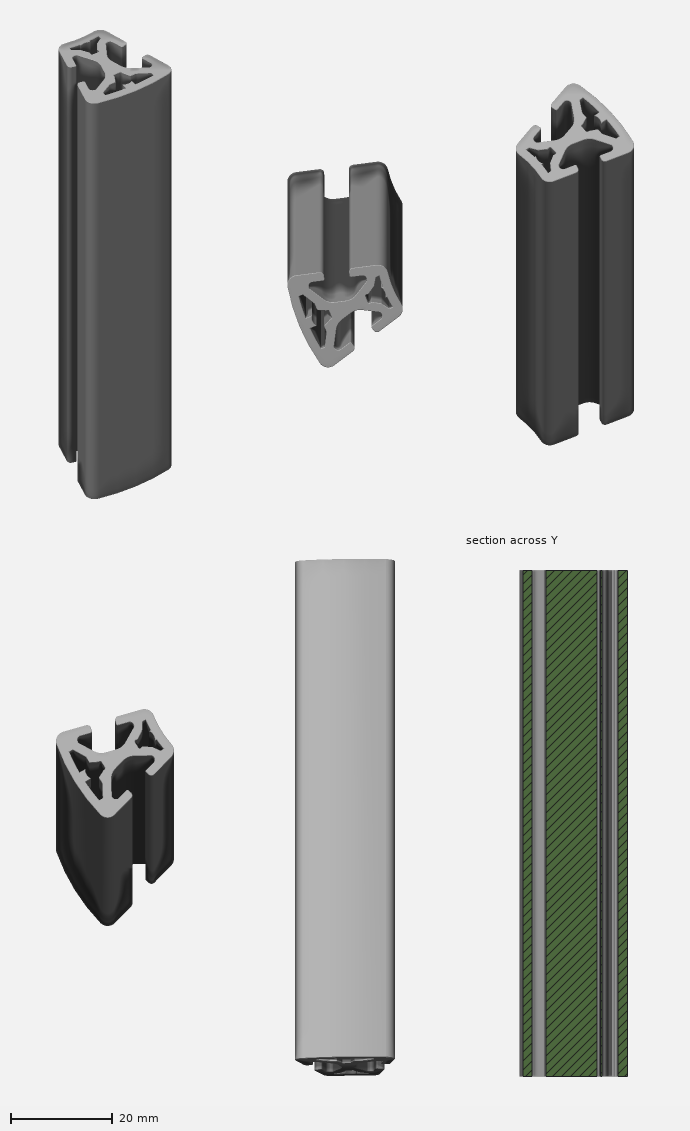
import cadquery as cq
import math

LENGTH = 100.0
SECTOR_ANGLE = 30.0
INNER_RADIUS = 20.0
OUTER_RADIUS = 40.0
CORNER_RADIUS = 2.0
END_CHAMFER = 0.1

SLOT_CENTRE = (INNER_RADIUS + OUTER_RADIUS) / 2
MOUTH_HALF = 2.5
LIP_THICKNESS = 1.8
LIP_OUTER_RADIUS = 0.8
LIP_INNER_RADIUS = 0.3
CAVITY_HALF = 5.75
SLOT_DEPTH = 6.35
FLOOR_HALF = 2.35
FLOOR_RADIUS = 3.0
CAVITY_RADIUS = 0.8
CAVITY_WALL_TOP = SLOT_DEPTH - (CAVITY_HALF - FLOOR_HALF)

OUTER_WALL = 1.8
INNER_WALL = 1.8
CHAMBER_RADIUS = 0.25
STEP_RADIUS = 0.15
BORE_RADIUS = 2.05
NUB_HALF = 1.125

OUTER_BORE_CENTRE = 35.15
OUTER_NOTCH_END = 33.4
OUTER_NOTCH_HALF = 0.9
OUTER_NOTCH_MOUTH = (33.9, 0.95)
OUTER_STEP = (35.5, 1.75)
OUTER_FLANK_START = (35.5, 3.1)
OUTER_TIP = (36.95, 5.69)

INNER_BORE_CENTRE = 23.85
INNER_NOTCH_END = 25.65
INNER_NOTCH_HALF = 0.95
INNER_NOTCH_MOUTH = (24.9, 0.85)
INNER_FLANK_BEND = (23.26, 1.88)
INNER_TIP = (22.25, 3.41)


def rounded_prism(corners):
    """Full-length prism whose corners (x, y, radius) are rounded with tangent arcs."""
    rounded = []
    count = len(corners)
    for i, (x, y, radius) in enumerate(corners):
        corner = cq.Vector(x, y)
        to_previous = (cq.Vector(*corners[i - 1][:2]) - corner).normalized()
        to_next = (cq.Vector(*corners[(i + 1) % count][:2]) - corner).normalized()
        half_angle = to_previous.getAngle(to_next) / 2
        setback = radius / math.tan(half_angle)
        bisector = (to_previous + to_next).normalized()
        arc_middle = corner + bisector * (radius / math.sin(half_angle) - radius)
        rounded.append((radius, corner + to_previous * setback, arc_middle, corner + to_next * setback))

    outline = cq.Workplane("XY").moveTo(*rounded[-1][3].toTuple()[:2])
    for radius, start, middle, end in rounded:
        outline = outline.lineTo(start.x, start.y)
        if radius > 0:
            outline = outline.threePointArc((middle.x, middle.y), (end.x, end.y))
    return outline.close().extrude(LENGTH)


def mirrored(corners):
    """Close a half outline by repeating it in reverse below the first axis."""
    return corners + [(x, -y, radius) for x, y, radius in reversed(corners)]


def cylinder(radius, centre=0.0):
    return cq.Workplane("XY").center(centre, 0).circle(radius).extrude(LENGTH)


def on_bisector(shape):
    return shape.rotate((0, 0, 0), (0, 0, 1), SECTOR_ANGLE / 2)


def ring_sector():
    def polar(radius, degrees):
        angle = math.radians(degrees)
        return radius * math.cos(angle), radius * math.sin(angle)

    return (
        cq.Workplane("XY")
        .moveTo(INNER_RADIUS, 0)
        .lineTo(OUTER_RADIUS, 0)
        .threePointArc(polar(OUTER_RADIUS, SECTOR_ANGLE / 2), polar(OUTER_RADIUS, SECTOR_ANGLE))
        .lineTo(*polar(INNER_RADIUS, SECTOR_ANGLE))
        .threePointArc(polar(INNER_RADIUS, SECTOR_ANGLE / 2), (INNER_RADIUS, 0))
        .close()
        .extrude(LENGTH)
        .edges("|Z")
        .fillet(CORNER_RADIUS)
    )


def t_slot():
    """Slot cutter for the face on Y = 0."""
    clearance = 1.0
    right_half = [
        (CAVITY_HALF, -clearance, 0),
        (CAVITY_HALF, 0, 0),
        (MOUTH_HALF, 0, LIP_OUTER_RADIUS),
        (MOUTH_HALF, LIP_THICKNESS, LIP_INNER_RADIUS),
        (CAVITY_HALF, LIP_THICKNESS, CAVITY_RADIUS),
        (CAVITY_HALF, CAVITY_WALL_TOP, CAVITY_RADIUS / 2),
        (FLOOR_HALF, SLOT_DEPTH, FLOOR_RADIUS),
    ]
    left_half = [(-x, y, radius) for x, y, radius in reversed(right_half)]
    return rounded_prism(right_half + left_half).translate((SLOT_CENTRE, 0, 0))


def wall_nub(face_radius, bore_centre):
    """Nub reaching from a curved face towards a bore centre, hollowed by the bore."""
    return (
        cq.Workplane("XY")
        .center((face_radius + bore_centre) / 2, 0)
        .rect(abs(face_radius - bore_centre), 2 * NUB_HALF)
        .extrude(LENGTH)
        .cut(cylinder(BORE_RADIUS, bore_centre))
    )


def outer_chamber():
    """Chamber behind the outer face, with a notch towards the core and a nub facing it."""
    half = [
        (OUTER_NOTCH_END, OUTER_NOTCH_HALF, CHAMBER_RADIUS),
        (*OUTER_NOTCH_MOUTH, STEP_RADIUS),
        (*OUTER_STEP, STEP_RADIUS),
        (*OUTER_FLANK_START, CHAMBER_RADIUS),
        (*OUTER_TIP, CHAMBER_RADIUS),
        (OUTER_RADIUS, OUTER_TIP[1], 0),
    ]
    nub = wall_nub(OUTER_RADIUS, OUTER_BORE_CENTRE)
    chamber = rounded_prism(mirrored(half)).intersect(cylinder(OUTER_RADIUS - OUTER_WALL))
    return on_bisector(chamber.cut(nub))


def inner_chamber():
    """Chamber behind the inner face, with a notch towards the core and a nub facing it."""
    half = [
        (INNER_NOTCH_END, INNER_NOTCH_HALF, CHAMBER_RADIUS),
        (*INNER_NOTCH_MOUTH, STEP_RADIUS),
        (*INNER_FLANK_BEND, CHAMBER_RADIUS),
        (*INNER_TIP, CHAMBER_RADIUS),
        (INNER_RADIUS, INNER_TIP[1], 0),
    ]
    chamber = rounded_prism(mirrored(half)).cut(cylinder(INNER_RADIUS + INNER_WALL))
    nub = wall_nub(INNER_RADIUS, INNER_BORE_CENTRE)
    return on_bisector(chamber.cut(nub))


lower_slot = t_slot()
upper_slot = lower_slot.mirror("XZ").rotate((0, 0, 0), (0, 0, 1), SECTOR_ANGLE)

result = (
    ring_sector()
    .cut(lower_slot)
    .cut(upper_slot)
    .cut(outer_chamber())
    .cut(inner_chamber())
    .faces("<Z or >Z")
    .chamfer(END_CHAMFER)
)